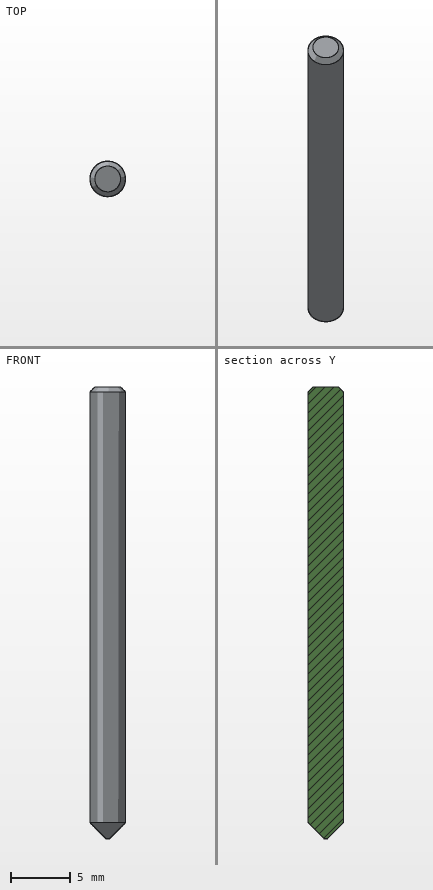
import cadquery as cq

length = 38.0
diameter = 3.0
top_chamfer = 0.4
tip_flat_diameter = 0.3
tip_height = 1.35

radius = diameter / 2
tip_flat_radius = tip_flat_diameter / 2
shoulder_z = tip_height - length / 2

profile = (
    cq.Workplane("XZ")
    .moveTo(0, -length / 2)
    .lineTo(tip_flat_radius, -length / 2)
    .lineTo(radius, shoulder_z)
    .lineTo(radius, length / 2 - top_chamfer)
    .lineTo(radius - top_chamfer, length / 2)
    .lineTo(0, length / 2)
    .close()
)

result = profile.revolve(360, (0, 0, 0), (0, 1, 0))